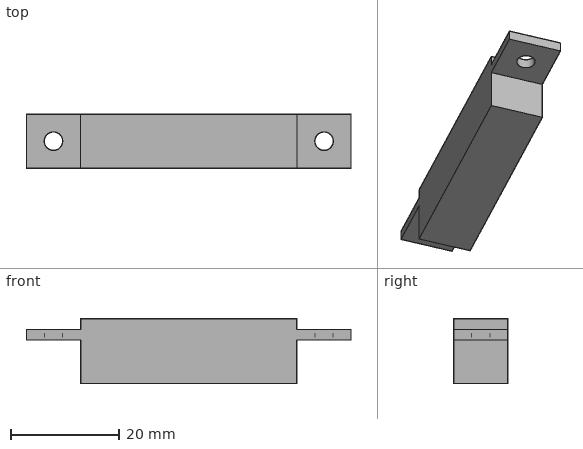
import cadquery as cq

total_length = 60.0
width = 10.0
body_height = 12.0
tab_length = 10.0
tab_thickness = 2.0
tab_drop = 2.0
hole_diameter = 3.35

body_length = total_length - 2 * tab_length
tab_bottom = body_height - tab_drop - tab_thickness
hole_offset = (total_length - tab_length) / 2

body = cq.Workplane("XY").box(body_length, width, body_height, centered=(True, True, False))

tab_plate = (
    cq.Workplane("XY", origin=(0, 0, tab_bottom))
    .box(total_length, width, tab_thickness, centered=(True, True, False))
)
holes = (
    cq.Workplane("XY", origin=(0, 0, tab_bottom))
    .pushPoints([(-hole_offset, 0), (hole_offset, 0)])
    .circle(hole_diameter / 2)
    .extrude(tab_thickness)
)

result = body.union(tab_plate).cut(holes)